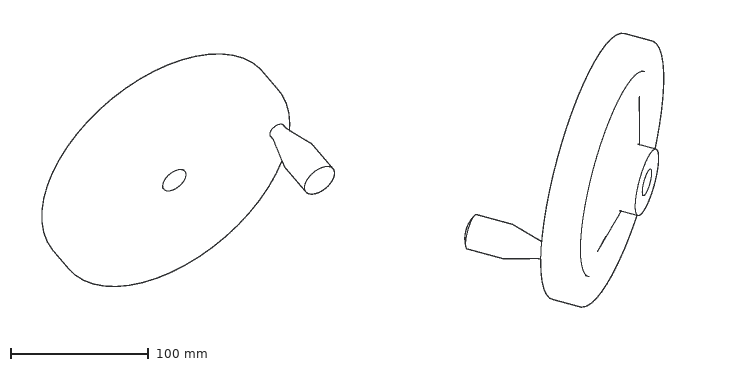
import cadquery as cq
import math

HUB_DIAMETER = 50.0
BORE_DIAMETER = 20.0

RIM_DIAMETER = 200.0
RIM_INNER_DIAMETER = 154.1
RIM_FRONT_X = 23.0
RIM_WIDTH = 23.0
RIM_BACK_X = RIM_FRONT_X + RIM_WIDTH
RIM_EDGE_RADIUS = 1.0

WEB_HUB_X = 15.0
WEB_LEAN_ANGLE = 20.0
WEB_FILLET_RADIUS = 2.0

HANDLE_DIAMETER = 26.0
HANDLE_OFFSET_Y = 88.52
NECK_DIAMETER = 12.48
NECK_LENGTH = 4.0
TAPER_LENGTH = 25.0
GRIP_LENGTH = 28.0
OVERALL_LENGTH = 106.89

EDGE_MATCH_TOLERANCE = 0.01


def make_wheel():
    """Revolve the hub, conical web and rim, then round the corners."""
    bore_radius = BORE_DIAMETER / 2
    hub_radius = HUB_DIAMETER / 2
    inner_radius = RIM_INNER_DIAMETER / 2
    outer_radius = RIM_DIAMETER / 2
    web_rise = (inner_radius - hub_radius) * math.tan(math.radians(WEB_LEAN_ANGLE))
    web_rim_x = WEB_HUB_X + web_rise

    wheel = (
        cq.Workplane("XY")
        .moveTo(0, bore_radius)
        .lineTo(0, hub_radius)
        .lineTo(WEB_HUB_X, hub_radius)
        .lineTo(web_rim_x, inner_radius)
        .lineTo(RIM_FRONT_X, inner_radius)
        .lineTo(RIM_FRONT_X, outer_radius)
        .lineTo(RIM_BACK_X, outer_radius)
        .lineTo(RIM_BACK_X, bore_radius)
        .close()
        .revolve(360, (0, 0, 0), (1, 0, 0))
    )
    wheel = round_circle(wheel, WEB_HUB_X, hub_radius, WEB_FILLET_RADIUS)
    wheel = round_circle(wheel, web_rim_x, inner_radius, WEB_FILLET_RADIUS)
    wheel = round_circle(wheel, RIM_FRONT_X, inner_radius, RIM_EDGE_RADIUS)
    wheel = round_circle(wheel, RIM_FRONT_X, outer_radius, RIM_EDGE_RADIUS)
    wheel = round_circle(wheel, RIM_BACK_X, outer_radius, RIM_EDGE_RADIUS)
    return wheel


def round_circle(body, x, radius, fillet_radius):
    """Fillet the circular edge of the given radius at position x."""
    matches = [
        edge
        for edge in body.edges("%CIRCLE").vals()
        if abs(edge.Center().x - x) < EDGE_MATCH_TOLERANCE
        and abs(edge.radius() - radius) < EDGE_MATCH_TOLERANCE
    ]
    return body.newObject(matches).fillet(fillet_radius)


def make_handle():
    """Revolve the neck, taper, cylindrical grip and domed end."""
    neck_radius = NECK_DIAMETER / 2
    grip_radius = HANDLE_DIAMETER / 2
    neck_end_x = RIM_BACK_X + NECK_LENGTH
    taper_end_x = neck_end_x + TAPER_LENGTH
    grip_end_x = taper_end_x + GRIP_LENGTH
    dome_height = OVERALL_LENGTH - grip_end_x
    dome_radius = (grip_radius**2 + dome_height**2) / (2 * dome_height)
    dome_center_x = OVERALL_LENGTH - dome_radius
    half_angle = math.asin(grip_radius / dome_radius) / 2
    dome_middle_x = dome_center_x + dome_radius * math.cos(half_angle)
    dome_middle_radius = dome_radius * math.sin(half_angle)

    return (
        cq.Workplane("XY", origin=(0, HANDLE_OFFSET_Y, 0))
        .moveTo(RIM_BACK_X, 0)
        .lineTo(RIM_BACK_X, neck_radius)
        .lineTo(neck_end_x, neck_radius)
        .lineTo(taper_end_x, grip_radius)
        .lineTo(grip_end_x, grip_radius)
        .threePointArc((dome_middle_x, dome_middle_radius), (OVERALL_LENGTH, 0))
        .close()
        .revolve(360, (0, 0, 0), (1, 0, 0))
    )


result = make_wheel().union(make_handle())